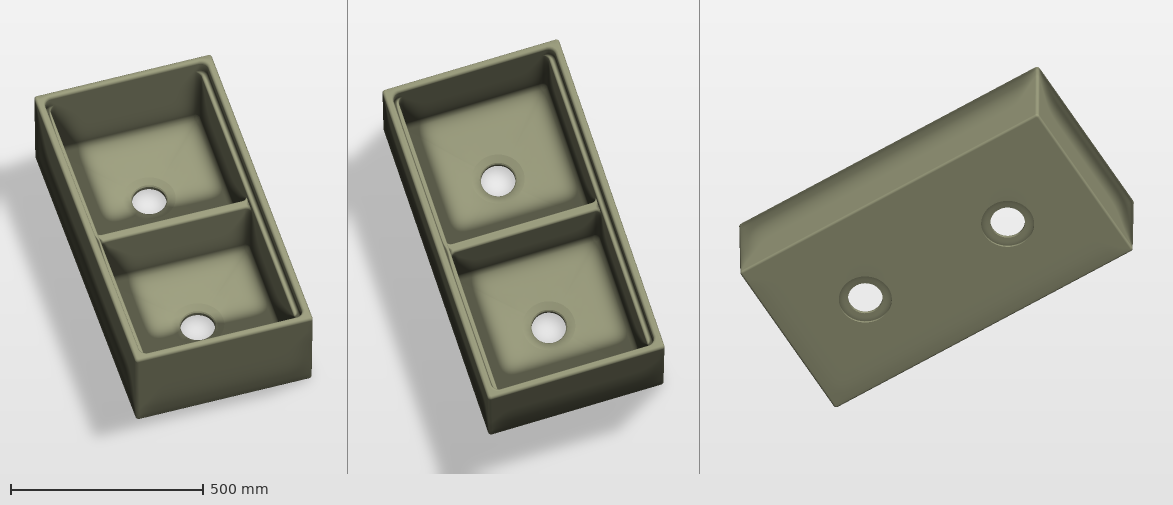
import cadquery as cq
import math

LENGTH = 914.68
WIDTH = 482.47
HEIGHT = 254.0

OUTER_DRAFT = 0.5
OUTER_CORNER_RADIUS = 8.0
RIM_OUTER_RADIUS = 7.0
BASE_RADIUS = 6.0

RIM_THICKNESS = 20.0
RIM_INNER_RADIUS = 7.0
OPENING_CORNER_RADIUS = 20.0
LEDGE_DEPTH = 38.1
LEDGE_CORNER_RADIUS = 5.0
LEDGE_EDGE_RADIUS = 5.0

INNER_DRAFT = 2.0
BOWL_WALL_THICKNESS = 35.0
BOWL_RADIUS = 13.5
FLOOR_HEIGHT = 35.0
DIVIDER_TOP_DEPTH = 57.15
DIVIDER_TOP_THICKNESS = 25.4
DIVIDER_EDGE_RADIUS = 6.0

DRAIN_OFFSET = 217.0
DRAIN_DIAMETER = 90.0
DRAIN_LIP_DIAMETER = 96.0
DRAIN_DISH_DIAMETER = 138.0
DRAIN_FALL = 9.5
DRAIN_DISH_DEPTH = 6.5
DRAIN_LIP_DEPTH = 3.0
UNDERSIDE_RECESS_DIAMETER = 138.0
UNDERSIDE_RECESS_DEPTH = 6.5

SLANTED = "not(|X or |Y)"

SELECT_MARGIN = 1.0

outer_tan = math.tan(math.radians(OUTER_DRAFT))
outer_sec = 1 / math.cos(math.radians(OUTER_DRAFT))
inner_tan = math.tan(math.radians(INNER_DRAFT))

opening_length = LENGTH - 2 * RIM_THICKNESS
opening_width = WIDTH - 2 * RIM_THICKNESS
bowl_width = WIDTH - 2 * BOWL_WALL_THICKNESS
cavity_depth = HEIGHT - FLOOR_HEIGHT
ledge_z = HEIGHT - LEDGE_DEPTH
divider_top_z = HEIGHT - DIVIDER_TOP_DEPTH
divider_top_half = DIVIDER_TOP_THICKNESS / 2
divider_base_half = divider_top_half + (divider_top_z - FLOOR_HEIGHT) * inner_tan


def tapered_block(length, width, top_z, depth, draft):
    """Block whose four walls lean inward on the way down from top_z."""
    return cq.Workplane("XY").workplane(offset=top_z).rect(length, width).extrude(-depth, taper=draft)


def make_shell():
    """Solid outer body with all its outer edges rounded."""
    overhang = RIM_OUTER_RADIUS * (outer_tan + outer_sec - 1)
    shell = tapered_block(LENGTH + 2 * overhang, WIDTH + 2 * overhang, HEIGHT, HEIGHT, OUTER_DRAFT)
    shell = shell.edges(SLANTED).fillet(OUTER_CORNER_RADIUS)
    shell = shell.faces(">Z").edges().fillet(RIM_OUTER_RADIUS)
    return shell.faces("<Z").edges().fillet(BASE_RADIUS)


def make_opening():
    """Space between the rim and the ledges."""
    opening = tapered_block(opening_length, opening_width, HEIGHT, LEDGE_DEPTH, INNER_DRAFT)
    opening = opening.edges(SLANTED).fillet(OPENING_CORNER_RADIUS)
    return opening.faces("<Z").edges().fillet(LEDGE_CORNER_RADIUS)


def make_divider():
    """Tapered wall, in its sharp form, that parts the two bowls."""
    corners = [
        (-divider_base_half, FLOOR_HEIGHT),
        (divider_base_half, FLOOR_HEIGHT),
        (divider_top_half, divider_top_z),
        (-divider_top_half, divider_top_z),
    ]
    return cq.Workplane("XZ").polyline(corners).close().extrude(WIDTH / 2, both=True)


def near_level(z):
    """Selects whatever is centred at height z."""
    return cq.selectors.BoxSelector((-LENGTH, -WIDTH, z - SELECT_MARGIN), (LENGTH, WIDTH, z + SELECT_MARGIN))


def make_bowls():
    """Space inside both bowls, reaching up to the rim between the ledges."""
    bowls = tapered_block(opening_length, bowl_width, HEIGHT, cavity_depth, INNER_DRAFT)
    bowls = bowls.cut(make_divider())
    bowls = bowls.edges(SLANTED).fillet(BOWL_RADIUS)
    bowls = bowls.faces("<Z").edges().fillet(BOWL_RADIUS)
    divider_top = bowls.faces("|Z").faces(near_level(divider_top_z))
    return divider_top.edges("|Y").fillet(DIVIDER_EDGE_RADIUS)


def make_cavity():
    """Opening and bowls together, with the ledge's free edges rounded."""
    cavity = make_opening().union(make_bowls())
    ledges = cavity.faces("|Z").faces(near_level(ledge_z))
    bowl_side = cq.selectors.BoxSelector(
        (-LENGTH, -bowl_width / 2, 0), (LENGTH, bowl_width / 2, HEIGHT)
    )
    return ledges.edges("|X").edges(bowl_side).fillet(LEDGE_EDGE_RADIUS)


def make_floor_fall(side):
    """Cutter that lets one bowl's floor fall from its straight edges to the round drain dish."""
    foot = BOWL_RADIUS * math.tan(math.radians((90 - INNER_DRAFT) / 2))
    outer_x = opening_length / 2 - cavity_depth * inner_tan - foot
    inner_x = divider_base_half + foot
    half_width = bowl_width / 2 - cavity_depth * inner_tan - foot
    return (
        cq.Workplane("XY")
        .workplane(offset=FLOOR_HEIGHT)
        .center(side * (outer_x + inner_x) / 2, 0)
        .rect(outer_x - inner_x, 2 * half_width)
        .workplane(offset=-DRAIN_FALL)
        .center(side * (DRAIN_OFFSET - (outer_x + inner_x) / 2), 0)
        .circle(DRAIN_DISH_DIAMETER / 2)
        .loft(ruled=True)
    )


def make_drain():
    """Cutter for one drain on the Z axis: dish, lip, outlet and the recess below it."""
    dish_radius = DRAIN_DISH_DIAMETER / 2
    lip_radius = DRAIN_LIP_DIAMETER / 2
    outlet_radius = DRAIN_DIAMETER / 2
    recess_radius = UNDERSIDE_RECESS_DIAMETER / 2
    dish_z = FLOOR_HEIGHT - DRAIN_FALL
    lip_z = dish_z - DRAIN_DISH_DEPTH
    return (
        cq.Workplane("XZ")
        .moveTo(0, dish_z)
        .lineTo(dish_radius, dish_z)
        .lineTo(lip_radius, lip_z)
        .lineTo(outlet_radius, lip_z - DRAIN_LIP_DEPTH)
        .lineTo(outlet_radius, UNDERSIDE_RECESS_DEPTH)
        .lineTo(recess_radius, UNDERSIDE_RECESS_DEPTH)
        .lineTo(recess_radius, 0)
        .lineTo(0, 0)
        .close()
        .revolve()
    )


def round_rim(sink):
    """Round the inner edge of the rim, all around the opening."""
    half_length = opening_length / 2 + SELECT_MARGIN
    half_width = opening_width / 2 + SELECT_MARGIN
    opening_edges = cq.selectors.BoxSelector(
        (-half_length, -half_width, 0), (half_length, half_width, HEIGHT + SELECT_MARGIN)
    )
    return sink.faces(">Z").edges(opening_edges).fillet(RIM_INNER_RADIUS)


result = round_rim(make_shell().cut(make_cavity()))
for side in (-1, 1):
    result = result.cut(make_floor_fall(side))
    result = result.cut(make_drain().translate((side * DRAIN_OFFSET, 0, 0)))